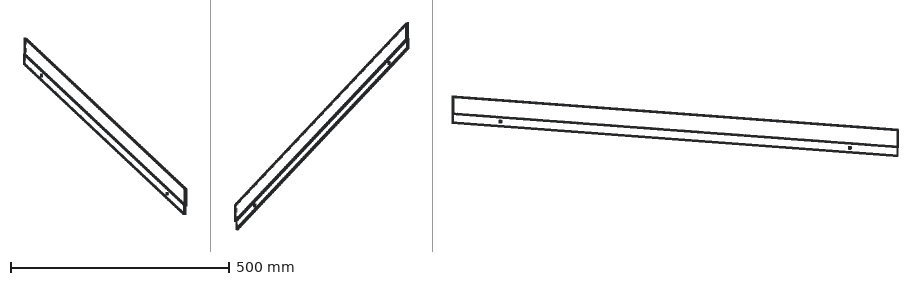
import cadquery as cq

length = 1056.0
depth = 6.0
height = 62.0

flange_height = 23.0
upper_front_setback = 1.6
top_slope_drop = 2.6
lower_back_setback = 3.0
wall_overlap = 3.0

hole_diameter = 4.0
hole_spacing = 830.0
hole_height = 11.0

front = -depth / 2
back = depth / 2
bottom = -height / 2
top = height / 2
shelf = bottom + flange_height
wall_bottom = shelf - wall_overlap


def make_strip():
    """Extrude the stepped YZ outline along the full length."""
    outline = [
        (front, bottom),
        (back - lower_back_setback, bottom),
        (back - lower_back_setback, wall_bottom),
        (back, wall_bottom),
        (back, top - top_slope_drop),
        (front + upper_front_setback, top),
        (front + upper_front_setback, shelf),
        (front, shelf),
    ]
    return cq.Workplane("YZ").polyline(outline).close().extrude(length / 2, both=True)


def make_hole(x):
    """Cylinder along Y that pierces the flange."""
    return (
        cq.Workplane("XZ", origin=(x, back, bottom + hole_height))
        .circle(hole_diameter / 2)
        .extrude(depth)
    )


result = make_strip()
for side in (-1, 1):
    result = result.cut(make_hole(side * hole_spacing / 2))